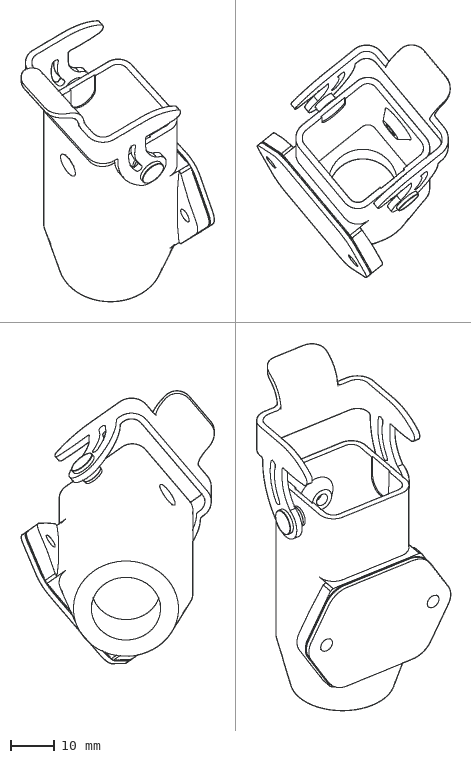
import cadquery as cq
import math

housing_width = 24.3
housing_half = housing_width / 2
housing_height = 57.3
corner_radius = 3.9
taper_height = 11.2
round_end_margin = 0.02
wall = 1.5
cavity_width = housing_width - 2 * wall
cavity_corner_radius = corner_radius - wall
cavity_floor = taper_height
cavity_depth = housing_height - cavity_floor
cavity_draft = 0.25
cable_hole_diameter = 16.0

plate_z = 25.3
plate_back = 15.2
plate_front = 10.4
plate_half_height = plate_z - taper_height
ear_radius = 5.0
plate_half_width = 20.0
ear_x = plate_half_width - ear_radius
ear_slope = math.radians(60)
mount_hole_diameter = 3.3
plate_end_chamfer = 0.5
ear_flat_half_height = 7.5
ear_slope_setback = 0.4
lip_thickness = 1.15
lip_corner_radius = 6.0
groove_width = 0.3
groove_depth = 0.15

screw_z = 46.6
screw_hole_diameter = 3.05
countersink_diameter = 5.8
countersink_depth = 1.6
screw_boss_base_diameter = 9.5
screw_boss_tip_diameter = 5.4
screw_boss_height = 2.4

pin_z = 52.0
pin_root_diameter = 4.8
pin_diameter = 5.0
pin_head_diameter = 6.0
pin_head_chamfer = 0.1
pin_step_x = 12.75
pin_head_end_x = 16.8
pin_slot_width = 7.0
pin_slot_depth = 0.3

sheet = 1.5
lever_half_width = 15.9
lever_front = -14.9
bend_radius = 4.4
band_bottom_height = 12.5
band_top_height = 20.8
band_top = pin_z + band_top_height
eye_radius = 4.4
eye_start_angle = 68
eye_end_angle = -132
neck_front = -9.5
neck_back = -1.5
neck_straight = 1.0
neck_fillet = 0.5
jaw_bottom_height = 14.6
neck_bend_height = 10.6

jaw_back_start = (-2.2, band_top_height)
jaw_back_middle = (3.1, 20.0)
jaw_tip_top = (7.9, 17.5)
jaw_tip_end = (8.5, 16.0)
jaw_tip_bottom = (7.3, 14.7)
jaw_underside_middle = (2.6, 14.4)
neck_bend_middle = (-0.5, 7.0)
neck_front_start = (-4.8, -1.35)
neck_front_middle = (-8.6, 5.6)

slot_width = 1.75
slot_upper = (-5.25, 13.25)
slot_middle = (-5.3, 8.3)
slot_lower = (-3.4, 3.75)

handle_width = 16.0
handle_tip = -21.7
handle_tip_corner = 4.0
handle_root_fillet = 1.0
handle_outer_radius = lever_front + sheet - handle_tip
handle_inner_radius = handle_outer_radius - sheet


def rounded_square(z, width, radius):
    """Square with rounded corners, as a wire parallel to XY."""
    sketch = cq.Sketch().rect(width, width).vertices().fillet(radius)
    return cq.Workplane("XY", origin=(0, 0, z)).placeSketch(sketch)


def plate_outline(y, inset=0.0):
    """Outline of the mounting plate with two round ears, drawn in the XZ plane at y."""
    radius = ear_radius - inset
    half_height = plate_half_height - inset
    tangent_x = ear_x + radius * math.sin(ear_slope)
    tangent_z = radius * math.cos(ear_slope)
    corner_x = tangent_x - (half_height - tangent_z) / math.tan(ear_slope)
    tip_x = ear_x + radius
    return (
        cq.Workplane("XZ", origin=(0, y, plate_z))
        .moveTo(-corner_x, half_height)
        .lineTo(corner_x, half_height)
        .lineTo(tangent_x, tangent_z)
        .threePointArc((tip_x, 0), (tangent_x, -tangent_z))
        .lineTo(corner_x, -half_height)
        .lineTo(-corner_x, -half_height)
        .lineTo(-tangent_x, -tangent_z)
        .threePointArc((-tip_x, 0), (-tangent_x, tangent_z))
        .close()
    )


def make_shell():
    """Square tube with rounded corners that runs into a round lower end."""
    upper = rounded_square(taper_height, housing_width, corner_radius).extrude(housing_height - taper_height)
    top_square = cq.Sketch().rect(housing_width, housing_width).vertices().fillet(corner_radius)
    end_radius = housing_half - round_end_margin
    round_end = cq.Sketch().rect(housing_width, housing_width).vertices().fillet(end_radius)
    taper = (
        cq.Workplane("XY")
        .placeSketch(round_end, top_square.moved(cq.Location(cq.Vector(0, 0, taper_height))))
        .loft(ruled=True)
    )
    return upper.union(taper)


def make_mounting_plate():
    """Plate with two ears on the back of the housing, and the block that joins it on."""
    lip_front = plate_back - lip_thickness
    groove_front = lip_front - groove_width
    lip = plate_outline(plate_back).extrude(lip_thickness)
    lip = lip.edges("|Y").edges(">Z or <Z").fillet(lip_corner_radius)
    groove_floor = plate_outline(lip_front, groove_depth).extrude(groove_width)
    groove_floor = groove_floor.edges("|Y").edges(">Z or <Z").fillet(lip_corner_radius)
    ears = plate_outline(groove_front).extrude(groove_front - plate_front)
    ears = ears.edges("|Y").edges(">Z or <Z").chamfer(plate_end_chamfer)

    for side in (1, -1):
        slope_cut = (
            cq.Workplane("YZ", origin=(-plate_half_width, 0, plate_z))
            .moveTo(plate_front, side * ear_flat_half_height)
            .lineTo(plate_front + ear_slope_setback, side * plate_half_height)
            .lineTo(plate_front, side * plate_half_height)
            .close()
            .extrude(2 * plate_half_width)
        )
        ears = ears.cut(slope_cut)

    block = cq.Workplane("XY", origin=(0, groove_front / 2, plate_z)).box(
        housing_width, groove_front, 2 * plate_half_height
    )
    return lip.union(groove_floor).union(ears).union(block)


def cut_cavity(body):
    """Square cavity from the rim, pin reliefs in its side walls and the cable hole."""
    draft_angle = math.degrees(math.atan2(cavity_draft, cavity_depth))
    cavity = rounded_square(housing_height, cavity_width, cavity_corner_radius)
    body = body.cut(cavity.extrude(-cavity_depth, taper=draft_angle))
    relief_width = cavity_width + 2 * pin_slot_depth
    relief_start = (-relief_width / 2, 0, pin_z)
    relief_round = cq.Workplane("YZ", origin=relief_start).circle(pin_slot_width / 2).extrude(relief_width)
    relief_height = housing_height - pin_z
    relief_open = cq.Workplane("XY", origin=(0, 0, pin_z + relief_height / 2)).box(
        relief_width, pin_slot_width, relief_height
    )
    cable_hole = cq.Workplane("XY").circle(cable_hole_diameter / 2).extrude(cavity_floor)
    return body.cut(relief_round).cut(relief_open).cut(cable_hole)


def cut_mounting_holes(body):
    """One through hole in each ear."""
    holes = (
        cq.Workplane("XZ", origin=(0, plate_back, plate_z))
        .pushPoints([(-ear_x, 0), (ear_x, 0)])
        .circle(mount_hole_diameter / 2)
        .extrude(plate_back - plate_front)
    )
    return body.cut(holes)


def add_screw_seat(body):
    """Conical boss inside the front wall with a countersunk through hole."""
    boss_base = cavity_width / 2
    boss_tip = boss_base - screw_boss_height
    boss = cq.Solid.makeCone(
        screw_boss_base_diameter / 2,
        screw_boss_tip_diameter / 2,
        screw_boss_height,
        pnt=cq.Vector(0, -boss_base, screw_z),
        dir=cq.Vector(0, 1, 0),
    )
    countersink = cq.Solid.makeCone(
        countersink_diameter / 2,
        screw_hole_diameter / 2,
        countersink_depth,
        pnt=cq.Vector(0, -housing_half, screw_z),
        dir=cq.Vector(0, 1, 0),
    )
    hole = (
        cq.Workplane("XZ", origin=(0, -boss_tip, screw_z))
        .circle(screw_hole_diameter / 2)
        .extrude(housing_half - boss_tip)
    )
    return body.union(cq.Workplane(boss)).cut(hole).cut(cq.Workplane(countersink))


def make_pin():
    """Stepped pivot pin with a chamfered head, on the +X side."""
    pin_root_x = housing_half - wall / 2
    root = cq.Workplane("YZ", origin=(pin_root_x, 0, pin_z)).circle(pin_root_diameter / 2)
    shank = cq.Workplane("YZ", origin=(pin_step_x, 0, pin_z)).circle(pin_diameter / 2)
    head = cq.Workplane("YZ", origin=(lever_half_width, 0, pin_z)).circle(pin_head_diameter / 2)
    return (
        root.extrude(pin_step_x - pin_root_x)
        .union(shank.extrude(lever_half_width - pin_step_x))
        .union(head.extrude(pin_head_end_x - lever_half_width).faces(">X").chamfer(pin_head_chamfer))
    )


def make_housing():
    """Housing with mounting plate, screw seat and its two pivot pins."""
    body = make_shell().union(make_mounting_plate())
    body = cut_cavity(body)
    body = cut_mounting_holes(body)
    body = add_screw_seat(body)
    pin = make_pin()
    return body.union(pin).union(pin.mirror("YZ"))


def point_on_eye(degrees):
    """Point (Y, height above the pin) on the round outline of the pivot eye."""
    angle = math.radians(degrees)
    return (eye_radius * math.cos(angle), eye_radius * math.sin(angle))


def edge_at(y, height):
    """Box that picks the profile edge along X at this place."""
    near = 0.1
    return cq.selectors.BoxSelector(
        (-lever_half_width, y - near, pin_z + height - near),
        (lever_half_width, y + near, pin_z + height + near),
    )


def lever_profile():
    """Side profile of the lever across its full width: jaw, neck, pivot eye and band."""
    profile = (
        cq.Workplane("YZ", origin=(-lever_half_width, 0, pin_z))
        .moveTo(lever_front, band_top_height)
        .lineTo(*jaw_back_start)
        .threePointArc(jaw_back_middle, jaw_tip_top)
        .threePointArc(jaw_tip_end, jaw_tip_bottom)
        .threePointArc(jaw_underside_middle, (neck_back, jaw_bottom_height))
        .lineTo(neck_back, neck_bend_height)
        .threePointArc(neck_bend_middle, point_on_eye(eye_start_angle))
        .threePointArc(point_on_eye((eye_start_angle + eye_end_angle) / 2), point_on_eye(eye_end_angle))
        .lineTo(*neck_front_start)
        .threePointArc(neck_front_middle, (neck_front, band_bottom_height - neck_straight))
        .lineTo(neck_front, band_bottom_height)
        .lineTo(lever_front, band_bottom_height)
        .close()
        .extrude(2 * lever_half_width)
    )
    inner_corners = edge_at(neck_back, jaw_bottom_height) + edge_at(neck_front, band_bottom_height)
    return profile.edges(inner_corners).fillet(neck_fillet)


def bent_strip():
    """U-shaped strip of sheet, open to the back, tall enough to hold the whole profile."""
    strip_back = 2 * eye_radius
    strip_bottom = pin_z - 2 * eye_radius
    depth = strip_back - lever_front
    height = band_top - strip_bottom

    def bent_block(inset):
        """Block with two rounded front corners, offset inwards by the inset."""
        block = cq.Workplane("XY", origin=(0, (lever_front + inset + strip_back) / 2, strip_bottom))
        block = block.rect(2 * (lever_half_width - inset), depth - inset).extrude(height)
        return block.edges("|Z and <Y").fillet(bend_radius - inset)

    return bent_block(0).cut(bent_block(sheet))


def spring_slot():
    """Curved slot with round ends through both arms, beside the pivot eye."""
    center_line = cq.Workplane("YZ").moveTo(*slot_upper).threePointArc(slot_middle, slot_lower).val()
    half = slot_width / 2

    def beside(fraction, offset):
        """Point at a sideways offset from the centre line."""
        point = center_line.positionAt(fraction)
        tangent = center_line.tangentAt(fraction)
        return (point.y - offset * tangent.z, point.z + offset * tangent.y)

    def beyond(fraction, offset):
        """Point at an offset along the centre line's direction."""
        point = center_line.positionAt(fraction)
        tangent = center_line.tangentAt(fraction)
        return (point.y + offset * tangent.y, point.z + offset * tangent.z)

    return (
        cq.Workplane("YZ", origin=(-lever_half_width, 0, pin_z))
        .moveTo(*beside(0, half))
        .threePointArc(beside(0.5, half), beside(1, half))
        .threePointArc(beyond(1, half), beside(1, -half))
        .threePointArc(beside(0.5, -half), beside(0, -half))
        .threePointArc(beyond(0, -half), beside(0, half))
        .close()
        .extrude(2 * lever_half_width)
    )


def make_handle():
    """Quarter-round handle that curls forward from the top of the band."""
    curl = (
        cq.Workplane("YZ", origin=(-handle_width / 2, handle_tip, band_top))
        .moveTo(handle_inner_radius, 0)
        .lineTo(handle_outer_radius, 0)
        .radiusArc((0, handle_outer_radius), -handle_outer_radius)
        .lineTo(0, handle_inner_radius)
        .radiusArc((handle_inner_radius, 0), handle_inner_radius)
        .close()
        .extrude(handle_width)
    )
    blank_back = lever_front + sheet
    blank = (
        cq.Workplane("XY", origin=(0, (handle_tip + blank_back) / 2, band_top))
        .rect(handle_width, blank_back - handle_tip)
        .extrude(handle_outer_radius)
        .edges("|Z and <Y")
        .fillet(handle_tip_corner)
    )
    return curl.intersect(blank)


def handle_root(side):
    """Concave fillet between the band and one side edge of the handle."""
    edge_x = handle_width / 2
    foot_x = edge_x + handle_root_fillet
    arc_middle = handle_root_fillet * (1 - math.sqrt(0.5))
    return (
        cq.Workplane("XZ", origin=(0, lever_front + sheet, band_top))
        .moveTo(side * edge_x, 0)
        .lineTo(side * foot_x, 0)
        .threePointArc((side * (edge_x + arc_middle), arc_middle), (side * edge_x, handle_root_fillet))
        .close()
        .extrude(sheet)
    )


def make_lever():
    """Bent sheet lever with two arms, each with a jaw, a spring slot and a pivot hole."""
    pivot_holes = (
        cq.Workplane("YZ", origin=(-lever_half_width, 0, pin_z))
        .circle(pin_diameter / 2)
        .extrude(2 * lever_half_width)
    )
    lever = lever_profile().intersect(bent_strip()).cut(spring_slot()).cut(pivot_holes)
    lever = lever.union(make_handle())
    for side in (1, -1):
        lever = lever.union(handle_root(side))
    return lever


housing = make_housing()
lever = make_lever()
result = cq.Compound.makeCompound([housing.val(), lever.val()])